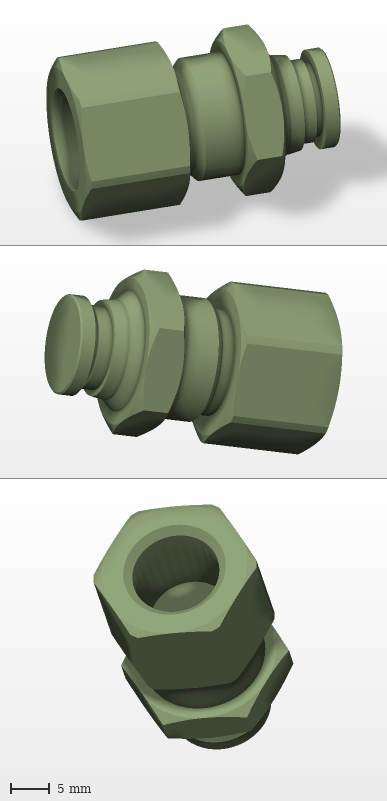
import cadquery as cq
import math

overall_length = 34.9
across_flats = 19.0
flat_distance = across_flats / 2
corner_radius = flat_distance / math.cos(math.pi / 6)

hex_length = 14.0
hex_rounded_radius = 10.65
hex_bevel_angle = 20.0

neck_radius = 6.98
neck_end = 15.5
barrel_radius = 8.03
barrel_bevel_end = 16.47

nut_start = 21.65
nut_end = 26.65
nut_bevel_angle = 30.0

shoulder_radius = 7.85
collar_radius = 6.5
collar_start = 28.2
taper_start = 28.62
taper_radius = 6.25
taper_end = 30.15

sleeve_radius = 5.45
sleeve_end = 32.0
groove_radius = 4.8
button_radius = 6.5
button_thickness = 2.0
button_bevel = 0.2
button_start = overall_length - button_thickness

mouth_radius = 6.7
thread_start_radius = 5.7
thread_end_radius = 5.35
mouth_depth = mouth_radius - thread_start_radius
thread_taper = 1 / 16
thread_length = 2 * (thread_start_radius - thread_end_radius) / thread_taper
bore_depth = mouth_depth + thread_length


def revolve_profile(points):
    """Revolve (radius, Y) points, closed along the axis, around the Y axis."""
    outline = [(0, points[0][1])] + points + [(0, points[-1][1])]
    return cq.Workplane("XY").polyline(outline).close().revolve(360, (0, 0), (0, 1))


def bevelled_hexagon(start, end, bevel_angle, outer_radius):
    """Hexagonal prism along Y, trimmed by a cylinder whose ends are bevelled down to the flats."""
    length = end - start
    prism = (
        cq.Workplane("XZ", origin=(0, end, 0))
        .polygon(6, 2 * corner_radius)
        .extrude(length)
    )
    bevel_height = (outer_radius - flat_distance) * math.tan(math.radians(bevel_angle))
    envelope = revolve_profile([
        (flat_distance, start),
        (outer_radius, start + bevel_height),
        (outer_radius, end - bevel_height),
        (flat_distance, end),
    ])
    return prism.intersect(envelope)


core = revolve_profile([
    (neck_radius, 0),
    (neck_radius, neck_end),
    (barrel_radius, barrel_bevel_end),
    (barrel_radius, nut_end),
    (shoulder_radius, nut_end),
    (collar_radius, collar_start),
    (collar_radius, taper_start),
    (taper_radius, taper_end),
    (sleeve_radius, taper_end),
    (sleeve_radius, sleeve_end),
    (groove_radius, sleeve_end),
    (groove_radius, button_start),
    (button_radius, button_start),
    (button_radius, overall_length - button_bevel),
    (button_radius - button_bevel, overall_length),
])

hex_body = bevelled_hexagon(0, hex_length, hex_bevel_angle, hex_rounded_radius)
lock_nut = bevelled_hexagon(nut_start, nut_end, nut_bevel_angle, corner_radius)

bore = revolve_profile([
    (mouth_radius, 0),
    (thread_start_radius, mouth_depth),
    (thread_end_radius, bore_depth),
])

result = core.union(hex_body).union(lock_nut).cut(bore)